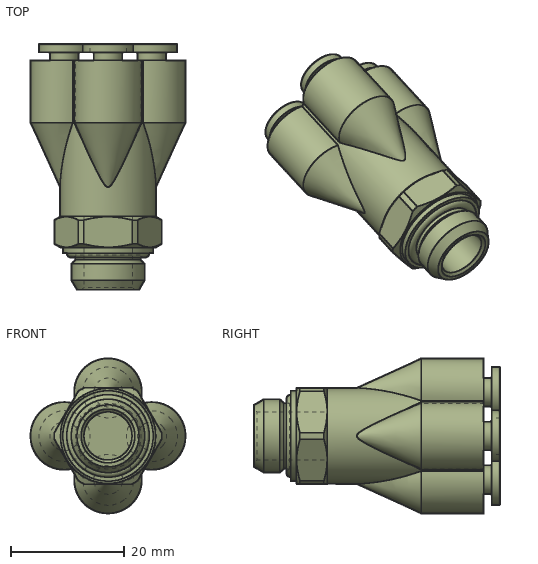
import cadquery as cq
import math


OVERALL_LENGTH = 43.5
THREAD_LEAD_IN_LENGTH = 1.75
THREAD_TOP = 4.6
COLLAR_BOTTOM = 6.5
HEX_BOTTOM = 7.5
HEX_TOP = 13.0
BRANCH_CONE_TOP = 29.6
BRANCH_TOP = 40.6
CAP_BOTTOM = 42.0

THREAD_DIAMETER = 13.0
THREAD_LEAD_IN_ANGLE = 30.0
UNDERCUT_DIAMETER = 11.6
COLLAR_DIAMETER = 16.0
SEAL_DIAMETER = 14.6
SEAL_SECTION_DIAMETER = 1.54
BORE_DIAMETER = 8.5
BORE_MOUTH_DIAMETER = 9.5
BORE_MOUTH_DEPTH = 0.5
BORE_DEPTH = HEX_TOP

HEX_ACROSS_FLATS = 17.0
HEX_CORNER_DIAMETER = 19.0
HEX_FACE_DIAMETER = 16.8
HEX_CHAMFER_ANGLE = 30.0
HEX_TURN = 30.0

BODY_DIAMETER = 17.0
ENVELOPE_WIDTH = 27.45
BRANCH_COUNT = 4
BRANCH_DIAMETER = 12.0
BRANCH_OFFSET = (ENVELOPE_WIDTH - BRANCH_DIAMETER) / 2
BRANCH_CONE_ANGLE = 24.6

STEM_DIAMETER = 5.1
CAP_DIAMETER = 9.0
CAP_EDGE_ROUND = 0.2
STEM_FILLET = 0.2


def slope(angle):
    return math.tan(math.radians(angle))


def revolve_about_y(profile):
    return profile.close().revolve(360, (0, 0, 0), (0, 1, 0))


def cylinder(diameter, start, end):
    plane = cq.Workplane("XZ", origin=(0, start, 0))
    return plane.circle(diameter / 2).extrude(start - end)


def threaded_end():
    thread_radius = THREAD_DIAMETER / 2
    undercut_radius = UNDERCUT_DIAMETER / 2
    collar_radius = COLLAR_DIAMETER / 2
    lead_in_radius = thread_radius - THREAD_LEAD_IN_LENGTH * slope(THREAD_LEAD_IN_ANGLE)
    undercut_bottom = THREAD_TOP + thread_radius - undercut_radius
    profile = (
        cq.Workplane("XY")
        .lineTo(lead_in_radius, 0)
        .lineTo(thread_radius, THREAD_LEAD_IN_LENGTH)
        .lineTo(thread_radius, THREAD_TOP)
        .lineTo(undercut_radius, undercut_bottom)
        .lineTo(undercut_radius, COLLAR_BOTTOM)
        .lineTo(collar_radius, COLLAR_BOTTOM)
        .lineTo(collar_radius, HEX_BOTTOM)
        .lineTo(0, HEX_BOTTOM)
    )
    return revolve_about_y(profile)


def seal_ring():
    """O-ring bedded slightly into the undercut, its lower half standing out of the collar face."""
    section_radius = SEAL_SECTION_DIAMETER / 2
    ring_radius = SEAL_DIAMETER / 2 - section_radius
    section = cq.Workplane("XY").center(ring_radius, COLLAR_BOTTOM).circle(section_radius)
    return section.revolve(360, (-ring_radius, 0, 0), (-ring_radius, 1, 0))


def hexagon():
    """Hexagon with flats facing +Z and -Z, its corners turned down and chamfered."""
    prism = (
        cq.Workplane("XZ", origin=(0, HEX_BOTTOM, 0))
        .polygon(6, HEX_ACROSS_FLATS, circumscribed=True)
        .extrude(HEX_BOTTOM - HEX_TOP)
        .rotate((0, 0, 0), (0, 1, 0), HEX_TURN)
    )
    face_radius = HEX_FACE_DIAMETER / 2
    corner_radius = HEX_CORNER_DIAMETER / 2
    chamfer_height = (corner_radius - face_radius) * slope(HEX_CHAMFER_ANGLE)
    turned_blank = (
        cq.Workplane("XY")
        .moveTo(0, HEX_BOTTOM)
        .lineTo(face_radius, HEX_BOTTOM)
        .lineTo(corner_radius, HEX_BOTTOM + chamfer_height)
        .lineTo(corner_radius, HEX_TOP - chamfer_height)
        .lineTo(face_radius, HEX_TOP)
        .lineTo(0, HEX_TOP)
    )
    return prism.intersect(revolve_about_y(turned_blank))


def release_cap():
    """Rounded disc on a narrower stem, standing on the end face of a branch."""
    stem_radius = STEM_DIAMETER / 2
    cap_radius = CAP_DIAMETER / 2
    profile = (
        cq.Workplane("XY")
        .moveTo(0, BRANCH_TOP)
        .lineTo(stem_radius, BRANCH_TOP)
        .lineTo(stem_radius, CAP_BOTTOM - STEM_FILLET)
        .radiusArc((stem_radius + STEM_FILLET, CAP_BOTTOM), STEM_FILLET)
        .lineTo(cap_radius, CAP_BOTTOM)
        .lineTo(cap_radius, OVERALL_LENGTH - CAP_EDGE_ROUND)
        .radiusArc((cap_radius - CAP_EDGE_ROUND, OVERALL_LENGTH), -CAP_EDGE_ROUND)
        .lineTo(0, OVERALL_LENGTH)
    )
    return revolve_about_y(profile)


def branch():
    """One tube branch on the Y axis: cone, barrel, stem and release cap."""
    branch_radius = BRANCH_DIAMETER / 2
    cone_tip = BRANCH_CONE_TOP - branch_radius / slope(BRANCH_CONE_ANGLE)
    barrel = revolve_about_y(
        cq.Workplane("XY")
        .moveTo(0, cone_tip)
        .lineTo(branch_radius, BRANCH_CONE_TOP)
        .lineTo(branch_radius, BRANCH_TOP)
        .lineTo(0, BRANCH_TOP)
    )
    return barrel.union(release_cap())


def bore():
    profile = (
        cq.Workplane("XY")
        .lineTo(BORE_MOUTH_DIAMETER / 2, 0)
        .lineTo(BORE_DIAMETER / 2, BORE_MOUTH_DEPTH)
        .lineTo(BORE_DIAMETER / 2, BORE_DEPTH)
        .lineTo(0, BORE_DEPTH)
    )
    return revolve_about_y(profile)


body = cylinder(BODY_DIAMETER, HEX_TOP, BRANCH_TOP)
fitting = body.union(hexagon()).union(threaded_end()).union(seal_ring())
for index in range(BRANCH_COUNT):
    turn = index * 360 / BRANCH_COUNT
    placed_branch = branch().translate((BRANCH_OFFSET, 0, 0)).rotate((0, 0, 0), (0, 1, 0), turn)
    fitting = fitting.union(placed_branch)

result = fitting.cut(bore())